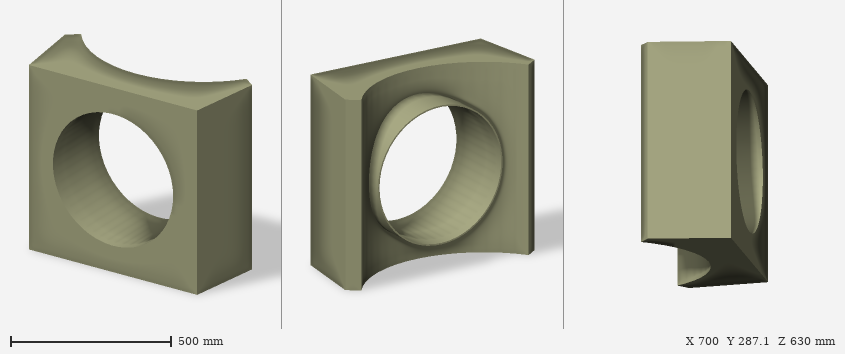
import cadquery as cq
import math

block_height = 630.0
front_width = 630.0
widest_width = 700.0
total_depth = 287.07
cradle_radius = 383.0
rim_width = 50.0

sleeve_outer_diameter = 460.0
sleeve_wall = 5.0
sleeve_length = 260.0

rim_outer_radius = cradle_radius + rim_width
rim_angle = math.asin(widest_width / 2 / rim_outer_radius)
tip_x = cradle_radius * math.sin(rim_angle)
cradle_axis_y = total_depth + cradle_radius * math.cos(rim_angle)
cradle_bottom_y = cradle_axis_y - cradle_radius
corner_y = cradle_axis_y - rim_outer_radius * math.cos(rim_angle)


def cylinder_along_y(diameter, length):
    """Cylinder centred on the Y axis, running back from the front face at Y = 0."""
    return cq.Workplane("XZ").circle(diameter / 2).extrude(-length)


def make_saddle_block():
    """Block with the cradle in its back and the through hole for the sleeve."""
    block = (
        cq.Workplane("XY")
        .moveTo(-front_width / 2, 0)
        .lineTo(front_width / 2, 0)
        .lineTo(widest_width / 2, corner_y)
        .lineTo(tip_x, total_depth)
        .threePointArc((0, cradle_bottom_y), (-tip_x, total_depth))
        .lineTo(-widest_width / 2, corner_y)
        .close()
        .extrude(block_height / 2, both=True)
    )
    return block.cut(cylinder_along_y(sleeve_outer_diameter, total_depth))


def make_sleeve():
    """Tube flush with the front face, standing out of the cradle at the back."""
    bore_diameter = sleeve_outer_diameter - 2 * sleeve_wall
    outside = cylinder_along_y(sleeve_outer_diameter, sleeve_length)
    return outside.cut(cylinder_along_y(bore_diameter, sleeve_length))


saddle_block = make_saddle_block()
sleeve = make_sleeve()

result = cq.Compound.makeCompound([saddle_block.solids().val(), sleeve.solids().val()])